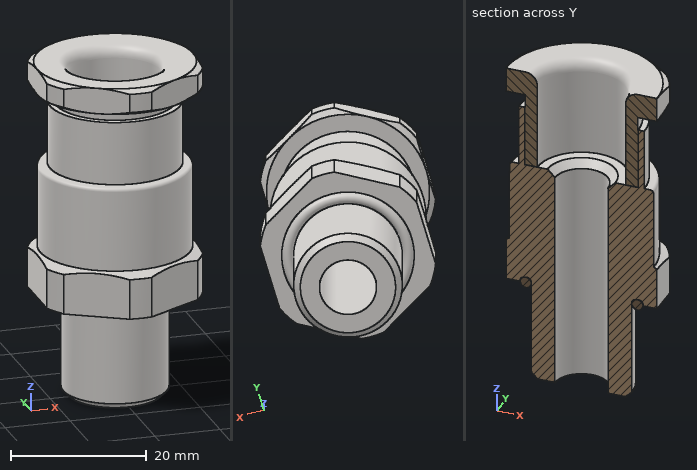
import cadquery as cq
import math

across_flats = 24.0
corner_radius = 13.0
flat_radius = across_flats / 2
chamfer_angle = math.radians(30)

thread_diameter = 16.0
thread_radius = thread_diameter / 2
thread_length = 16.0
thread_chamfer = 1.0
housing_hex_height = 7.05
body_radius = 11.5
body_length = 13.0
body_edge_fillet = 0.6
sleeve_radius = 10.0
sleeve_length = 9.75
housing_hex_top = thread_length + housing_hex_height
body_top = housing_hex_top + body_length
sleeve_top = body_top + sleeve_length

passage_radius = 4.2
passage_mouth_radius = 5.4

total_height = 51.75
nut_hex_height = 4.0
shank_radius = 9.0
nut_bore_radius = 7.0
nut_mouth_fillet = shank_radius - nut_bore_radius
nut_hex_bottom = total_height - nut_hex_height
shank_bottom = body_top

ring_section_radius = 0.9
ring_center_radius = thread_radius + ring_section_radius

up = cq.Vector(0, 0, 1)
down = cq.Vector(0, 0, -1)


def cylinder(radius, bottom, top):
    return cq.Workplane("XY").workplane(offset=bottom).circle(radius).extrude(top - bottom)


def cone(tip_radius, base_radius, height, tip_z, axis):
    """Truncated cone whose small end lies at tip_z and which widens along the axis."""
    return cq.Workplane(cq.Solid.makeCone(tip_radius, base_radius, height, cq.Vector(0, 0, tip_z), axis))


def rounded_hexagon(bottom, top):
    """Hexagon with flats on its X sides and corners rounded to a common cylinder."""
    prism = (
        cq.Workplane("XY")
        .workplane(offset=bottom)
        .polygon(6, across_flats, circumscribed=True)
        .extrude(top - bottom)
    )
    return prism.intersect(cylinder(corner_radius, bottom, top))


def turn_end(hexagon, height, face_radius, face_z, inward):
    """Chamfer the corners of one hexagon end by a cone that starts at the face radius."""
    wide_radius = face_radius + height / math.tan(chamfer_angle)
    return hexagon.intersect(cone(face_radius, wide_radius, height, face_z, inward))


def make_sealing_ring():
    return (
        cq.Workplane("XZ")
        .center(ring_center_radius, thread_length)
        .circle(ring_section_radius)
        .revolve(360, (-ring_center_radius, 0, 0), (-ring_center_radius, 1, 0))
    )


def make_housing():
    thread = cylinder(thread_radius, 0, thread_length).faces("<Z").chamfer(thread_chamfer)
    hex_blank = rounded_hexagon(thread_length, housing_hex_top)
    hex_section = turn_end(hex_blank, housing_hex_height, body_radius, housing_hex_top, down)
    body = cylinder(body_radius, housing_hex_top, body_top).faces(">Z").edges().fillet(body_edge_fillet)
    sleeve = cylinder(sleeve_radius, body_top, sleeve_top)
    solid = thread.union(hex_section).union(body).union(sleeve)

    shank_recess = cylinder(shank_radius, shank_bottom, sleeve_top)
    passage = cylinder(passage_radius, 0, shank_bottom)
    mouth_depth = passage_mouth_radius - passage_radius
    passage_mouth = cone(passage_radius, passage_mouth_radius, mouth_depth, shank_bottom - mouth_depth, up)
    return solid.cut(shank_recess).cut(passage).cut(passage_mouth).cut(make_sealing_ring())


def make_gland_nut():
    head = rounded_hexagon(nut_hex_bottom, total_height)
    head = turn_end(head, nut_hex_height, flat_radius, total_height, down)
    head = turn_end(head, nut_hex_height, flat_radius, nut_hex_bottom, up)
    shank = cylinder(shank_radius, shank_bottom, nut_hex_bottom)
    bore = cylinder(nut_bore_radius, shank_bottom, total_height)
    bored = head.union(shank).cut(bore)
    mouth_edge = cq.selectors.RadiusNthSelector(0)
    return bored.faces(">Z").edges(mouth_edge).fillet(nut_mouth_fillet)


housing = make_housing()
gland_nut = make_gland_nut()
sealing_ring = make_sealing_ring()

result = cq.Compound.makeCompound([housing.solids().val(), gland_nut.solids().val(), sealing_ring.val()])